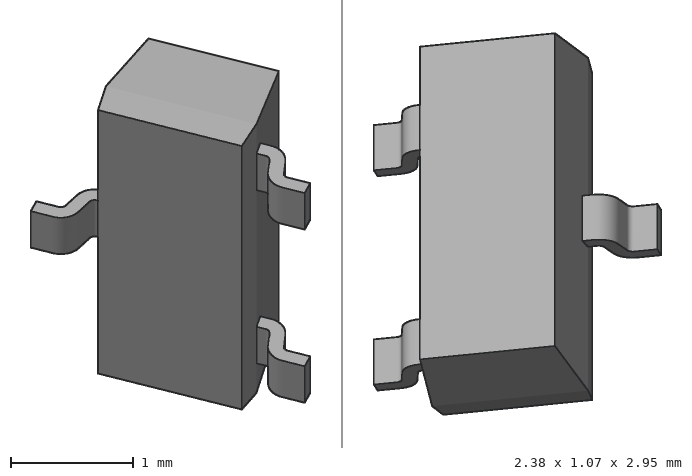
import cadquery as cq
import math

body_width = 1.31
body_length = 2.95
body_front_y = 0.05
parting_y = 0.313
body_back_y = 1.07
front_inset = 0.03
back_inset = 0.088

lead_span = 2.38
lead_width = 0.4
lead_thickness = 0.13
lead_pitch = 1.9
foot_flat = 0.195
bend_spacing = 0.263
inner_radius = 0.05
outer_radius = inner_radius + lead_thickness
shoulder_y = parting_y + lead_thickness
root_x = body_width / 4


def tapered_half(end_y, inset):
    """Half of the body, from the parting plane to a smaller end face."""
    return (
        cq.Workplane("XZ", origin=(0, parting_y, 0))
        .rect(body_width, body_length)
        .workplane(offset=parting_y - end_y)
        .rect(body_width - 2 * inset, body_length - 2 * inset)
        .loft(ruled=True)
    )


def on_circle(center, radius, angle):
    return (center[0] + radius * math.cos(angle), center[1] + radius * math.sin(angle))


def right_lead(center_z):
    """Lead on the +X side: foot, S-bend with a straight sloping leg, and shoulder."""
    tip_x = lead_span / 2
    foot_bend = (tip_x - foot_flat, outer_radius)
    shoulder_bend = (foot_bend[0] - bend_spacing, shoulder_y - outer_radius)

    bend_rise = shoulder_bend[1] - foot_bend[1]
    radius_sum = inner_radius + outer_radius
    leg_length = math.sqrt(bend_spacing**2 + bend_rise**2 - radius_sum**2)
    leg_tilt = math.atan2(leg_length, radius_sum) - math.atan2(bend_rise, bend_spacing)

    foot_start, foot_end = -math.pi / 2, -math.pi + leg_tilt
    foot_middle = (foot_start + foot_end) / 2
    shoulder_start, shoulder_end = leg_tilt, math.pi / 2
    shoulder_middle = (shoulder_start + shoulder_end) / 2

    profile = (
        cq.Workplane("XY", origin=(0, 0, center_z))
        .moveTo(tip_x, 0)
        .lineTo(*on_circle(foot_bend, outer_radius, foot_start))
        .threePointArc(
            on_circle(foot_bend, outer_radius, foot_middle),
            on_circle(foot_bend, outer_radius, foot_end),
        )
        .lineTo(*on_circle(shoulder_bend, inner_radius, shoulder_start))
        .threePointArc(
            on_circle(shoulder_bend, inner_radius, shoulder_middle),
            on_circle(shoulder_bend, inner_radius, shoulder_end),
        )
        .lineTo(root_x, parting_y)
        .lineTo(root_x, shoulder_y)
        .lineTo(*on_circle(shoulder_bend, outer_radius, shoulder_end))
        .threePointArc(
            on_circle(shoulder_bend, outer_radius, shoulder_middle),
            on_circle(shoulder_bend, outer_radius, shoulder_start),
        )
        .lineTo(*on_circle(foot_bend, inner_radius, foot_end))
        .threePointArc(
            on_circle(foot_bend, inner_radius, foot_middle),
            on_circle(foot_bend, inner_radius, foot_start),
        )
        .lineTo(tip_x, lead_thickness)
        .close()
    )
    return profile.extrude(lead_width / 2, both=True)


result = tapered_half(body_front_y, front_inset).union(tapered_half(body_back_y, back_inset))

for lead_z in (-lead_pitch / 2, lead_pitch / 2):
    result = result.union(right_lead(lead_z))
result = result.union(right_lead(0).mirror("YZ"))